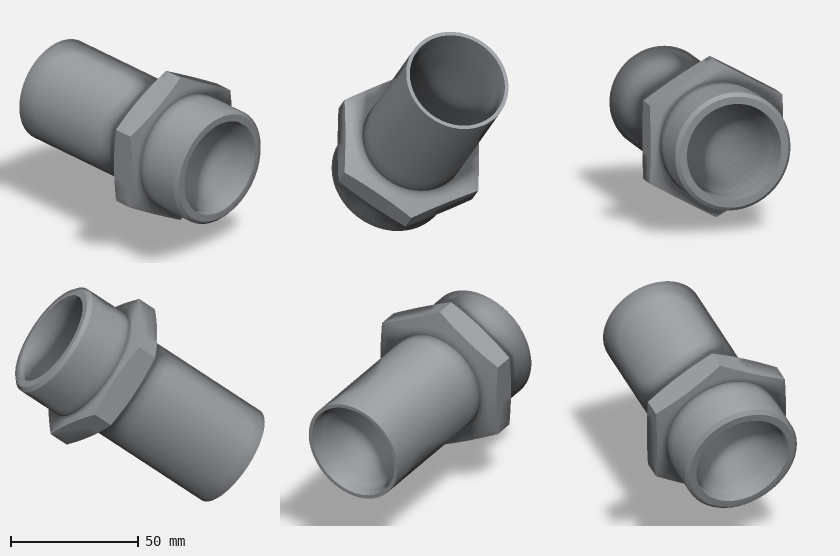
import cadquery as cq
import math

total_length = 91.0
bore_diameter = 39.0
pipe_diameter = 42.0
collar_diameter = 47.8
collar_chamfer = 1.5

hex_across_flats = 55.0
hex_start = 58.0
hex_end = 71.0
cone_angle = 15.0
trim_clearance = 0.9

pipe_radius = pipe_diameter / 2
collar_radius = collar_diameter / 2
hex_corner_radius = hex_across_flats / math.sqrt(3)
cone_slope = math.tan(math.radians(cone_angle))


def cylinder(diameter, start, end):
    """Solid cylinder along X between two stations."""
    return cq.Workplane("YZ", origin=(start, 0, 0)).circle(diameter / 2).extrude(end - start)


def coned_hexagon():
    """Hexagonal prism trimmed by a shallow cone at each end."""
    prism = (
        cq.Workplane("YZ", origin=(hex_start, 0, 0))
        .polygon(6, 2 * hex_corner_radius)
        .extrude(hex_end - hex_start)
        .rotate((0, 0, 0), (1, 0, 0), 90)
    )
    trim_radius = hex_corner_radius + trim_clearance
    front_edge = hex_start + (trim_radius - pipe_radius) * cone_slope
    rear_edge = hex_end - (trim_radius - collar_radius) * cone_slope
    trim = (
        cq.Workplane("XZ")
        .polyline([
            (hex_start, 0),
            (hex_start, pipe_radius),
            (front_edge, trim_radius),
            (rear_edge, trim_radius),
            (hex_end, collar_radius),
            (hex_end, 0),
        ])
        .close()
        .revolve(360, (0, 0, 0), (1, 0, 0))
    )
    return prism.intersect(trim)


pipe = cylinder(pipe_diameter, 0, hex_start)
collar = cylinder(collar_diameter, hex_end, total_length).faces(">X").chamfer(collar_chamfer)
bore = cylinder(bore_diameter, 0, total_length)

result = pipe.union(coned_hexagon()).union(collar).cut(bore)